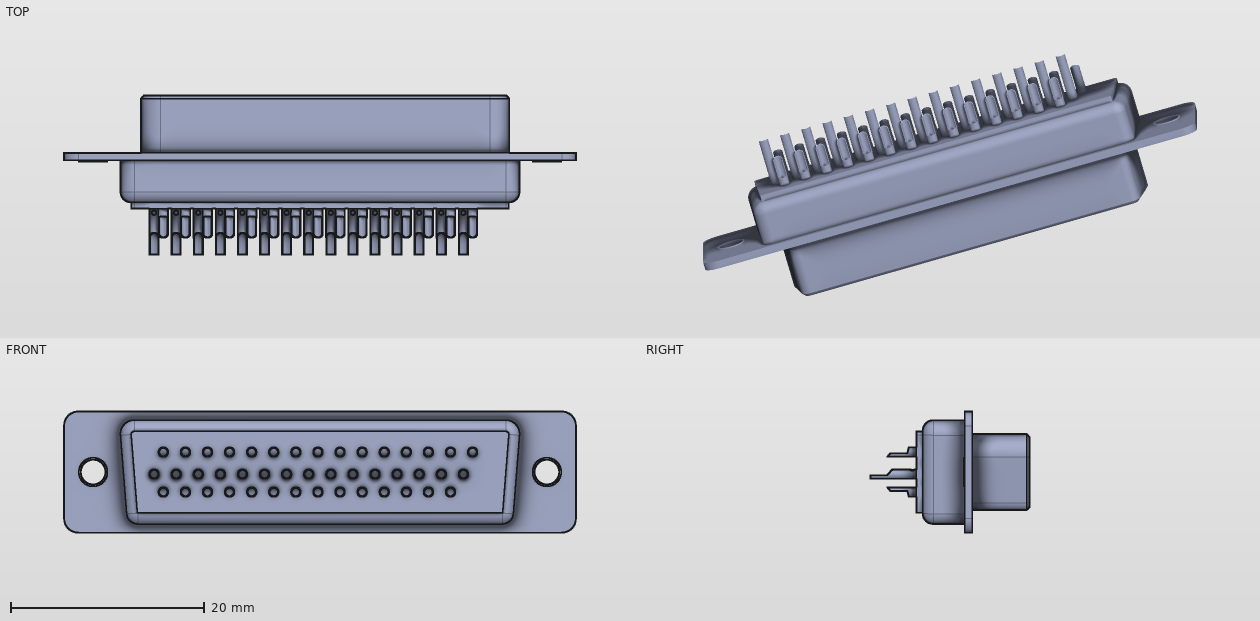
import cadquery as cq
import math


flange_width = 53.05
flange_height = 12.55
flange_thickness = 0.8
flange_corner_radius = 1.5

hole_offset_x = 23.5
hole_diameter = 2.55
collar_diameter = 2.95
collar_height = 0.1

mating_depth = 5.95
mating_half_width = 18.8
mating_offset_x = 0.55
mating_height = 7.9
mating_slope = 10.0
mating_top_radius = 2.0
mating_bottom_radius = 0.95
mating_end_chamfer = 0.3

housing_depth = 4.35
housing_half_width = 20.35
housing_height = 10.75
housing_slope = 4.5
housing_top_radius = 1.45
housing_bottom_radius = 1.15
housing_front_fillet = 1.1

insulator_depth = 0.65
insulator_inset_z = 1.15
insulator_front = -(housing_depth + insulator_depth)

cup_radius = 0.505
cup_bore_radius = 0.4
cup_cut_below_axis = 0.1
row_span = 32.05
pins_per_full_row = 15
pin_pitch = row_span / (pins_per_full_row - 1)
outer_row_first_x = -16.25
middle_row_first_x = -17.2
outer_row_z = 2.05
middle_row_z = -0.2

middle_cup_length = 4.8
middle_cut_at_rim = 2.5
middle_cut_at_tongue = 3.0
outer_cup_length = 3.0
outer_cup_short_edge = 2.7
outer_cut_at_rim = 0.8
outer_cut_at_tongue = 0.95
weep_hole_diameter = 0.5
weep_hole_distance = 0.4


def d_prism(half_width, height, slope, top_radius, bottom_radius, y_start, y_end):
    """D-shaped block; half_width is taken at mid height, and the top is the wider side."""
    half_height = height / 2
    lean = half_height * math.tan(math.radians(slope))
    top_x = half_width + lean
    bottom_x = half_width - lean
    block = (
        cq.Workplane("XZ", origin=(0, y_start, 0))
        .polyline([
            (-top_x, half_height), (top_x, half_height),
            (bottom_x, -half_height), (-bottom_x, -half_height),
        ])
        .close()
        .extrude(y_start - y_end)
    )
    block = block.edges("|Y").edges(">Z").fillet(top_radius)
    return block.edges("|Y").edges("<Z").fillet(bottom_radius)


def y_cylinder(radius, x, z, y_start, length):
    """Cylinder that runs from y_start towards -Y."""
    return cq.Workplane("XZ", origin=(x, y_start, z)).circle(radius).extrude(length)


def make_flange():
    return (
        cq.Workplane("XZ", origin=(0, flange_thickness, 0))
        .rect(flange_width, flange_height)
        .extrude(flange_thickness)
        .edges("|Y")
        .fillet(flange_corner_radius)
    )


def make_mating_shell():
    shell = d_prism(
        mating_half_width, mating_height, mating_slope, mating_top_radius, mating_bottom_radius,
        flange_thickness + mating_depth, 0,
    )
    shell = shell.faces(">Y").edges().chamfer(mating_end_chamfer)
    return shell.translate((mating_offset_x, 0, 0))


def make_housing():
    housing = d_prism(
        housing_half_width, housing_height, housing_slope, housing_top_radius, housing_bottom_radius,
        flange_thickness, -housing_depth,
    )
    return housing.faces("<Y").edges().fillet(housing_front_fillet)


def make_insulator():
    side_inset = housing_front_fillet / math.cos(math.radians(housing_slope))
    return d_prism(
        housing_half_width - side_inset, housing_height - 2 * insulator_inset_z, housing_slope,
        housing_top_radius - housing_front_fillet, housing_bottom_radius - housing_front_fillet,
        0, insulator_front,
    )


def make_cup(length, short_edge, cut_at_rim, cut_at_tongue):
    """Bored cup at the origin pointing to -Y, cut open at the top to leave a tongue.

    short_edge is the length of the tongue at its upper face; its underside reaches length.
    """
    clearance = 2 * cup_radius
    cup = y_cylinder(cup_radius, 0, 0, 0, length).cut(y_cylinder(cup_bore_radius, 0, 0, 0, length))
    tongue_z = -cup_cut_below_axis
    side_profile = [
        (0, -cup_radius),
        (-length, -cup_radius),
        (-short_edge, tongue_z),
        (-cut_at_tongue, tongue_z),
        (-cut_at_rim, cup_radius),
        (0, cup_radius),
    ]
    envelope = cq.Workplane("YZ").polyline(side_profile).close().extrude(clearance, both=True)
    return cup.intersect(envelope)


def make_middle_cup():
    cup = make_cup(middle_cup_length, middle_cup_length, middle_cut_at_rim, middle_cut_at_tongue)
    weep_hole = (
        cq.Workplane("XY", origin=(0, -weep_hole_distance, 0))
        .circle(weep_hole_diameter / 2)
        .extrude(2 * cup_radius)
    )
    return cup.cut(weep_hole)


def cup_row(cup, first_x, z, count):
    return [
        cup.translate((first_x + i * pin_pitch, insulator_front, z)).val()
        for i in range(count)
    ]


upper_cup = make_cup(outer_cup_length, outer_cup_short_edge, outer_cut_at_rim, outer_cut_at_tongue)
lower_cup = upper_cup.mirror("XY")
cups = (
    cup_row(upper_cup, outer_row_first_x, outer_row_z, pins_per_full_row)
    + cup_row(make_middle_cup(), middle_row_first_x, middle_row_z, pins_per_full_row)
    + cup_row(lower_cup, outer_row_first_x, -outer_row_z, pins_per_full_row - 1)
)

body = make_flange().union(make_mating_shell()).union(make_housing()).union(make_insulator())
for side in (-1, 1):
    hole_x = side * hole_offset_x
    collar_length = flange_thickness + collar_height
    body = body.union(y_cylinder(collar_diameter / 2, hole_x, 0, flange_thickness, collar_length))
    body = body.cut(y_cylinder(hole_diameter / 2, hole_x, 0, flange_thickness, collar_length))

result = cq.Workplane(body.val().fuse(*cups))